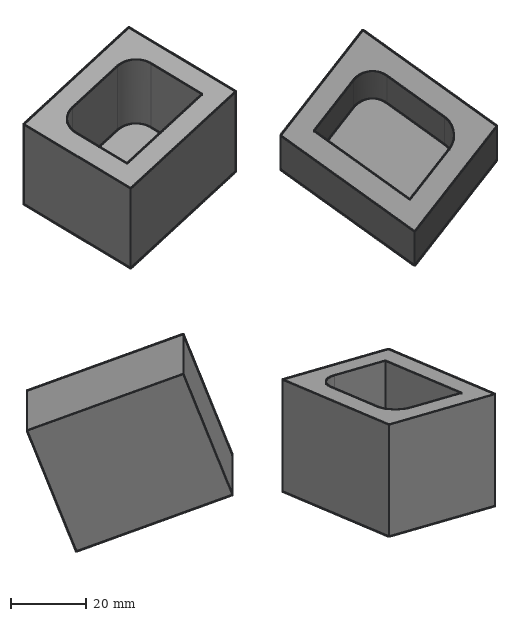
import cadquery as cq

length_x = 36.5
length_y = 44.45
height = 31.75

wall = 6.35
corner_radius = wall
pocket_x = length_x - 2 * wall
pocket_y = length_y - 2 * wall
pocket_depth = height - wall


def make_block():
    return cq.Workplane("XY").box(length_x, length_y, height, centered=(True, True, False))


def make_pocket():
    """Blind pocket with rounded corners on the -X side and sharp ones on +X."""
    return (
        cq.Workplane("XY")
        .workplane(offset=height - pocket_depth)
        .rect(pocket_x, pocket_y)
        .extrude(pocket_depth)
        .edges("|Z and <X")
        .fillet(corner_radius)
    )


result = make_block().cut(make_pocket())